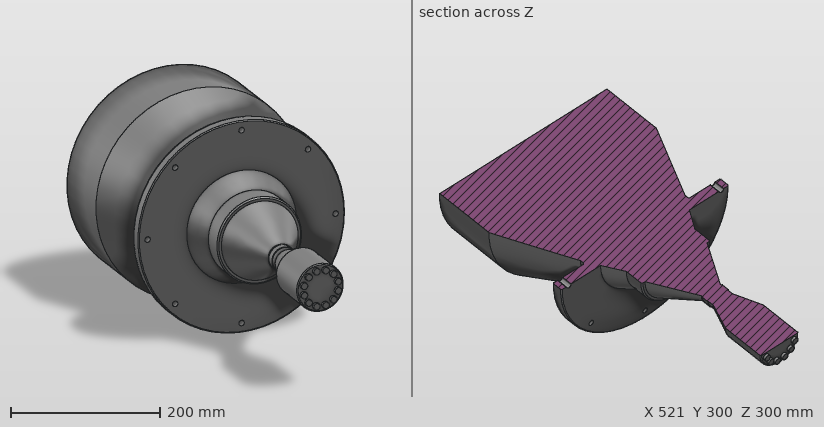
import cadquery as cq
import math

length = 521.0

drum_radius = 150.0
drum_length = 100.0
front_cone_end = 221.5
front_cone_radius = 94.0

flange_start = 228.0
flange_thickness = 17.5
flange_end = flange_start + flange_thickness
flange_radius = drum_radius
flange_chamfer = 1.5
flange_fillet = 2.5
hole_count = 8
hole_circle_radius = 136.5
hole_diameter = 8.0

rear_cone_radius = 79.5
collar_start = 277.0
collar_end = 308.5
collar_radius = 61.5
collar_chamfer = 2.0

long_cone_radius = 55.5
neck_start = 378.0
neck_end = 402.0
neck_radius = 17.0
band_start = 381.0
band_end = 393.0
band_radius = 18.0

tail_start = 446.0
tail_radius = 34.0
tail_chamfer = 1.5
pin_length = 4.0
tail_end = length - pin_length
pin_count = 12
pin_circle_radius = 25.5
pin_radius = 4.5


def ring_points(count, radius, first_angle=0.0):
    """Equally spaced points on a circle about the axis; angles in degrees."""
    points = []
    for index in range(count):
        angle = math.radians(first_angle + index * 360.0 / count)
        points.append((radius * math.cos(angle), radius * math.sin(angle)))
    return points


def turned_body():
    """Revolve the half outline, drawn as (X, radius), about the X axis."""
    profile = (
        cq.Workplane("XY")
        .lineTo(0, drum_radius)
        .lineTo(drum_length, drum_radius)
        .lineTo(front_cone_end, front_cone_radius)
        .lineTo(flange_start - flange_fillet, front_cone_radius)
        .radiusArc((flange_start, front_cone_radius + flange_fillet), -flange_fillet)
        .lineTo(flange_start, flange_radius - flange_chamfer)
        .lineTo(flange_start + flange_chamfer, flange_radius)
        .lineTo(flange_end - flange_chamfer, flange_radius)
        .lineTo(flange_end, flange_radius - flange_chamfer)
        .lineTo(flange_end, rear_cone_radius)
        .lineTo(collar_start, collar_radius)
        .lineTo(collar_end - collar_chamfer, collar_radius)
        .lineTo(collar_end, collar_radius - collar_chamfer)
        .lineTo(collar_end, long_cone_radius)
        .lineTo(neck_start, neck_radius)
        .lineTo(band_start, neck_radius)
        .lineTo(band_start, band_radius)
        .lineTo(band_end, band_radius)
        .lineTo(band_end, neck_radius)
        .lineTo(neck_end, neck_radius)
        .lineTo(tail_start, tail_radius)
        .lineTo(tail_end - tail_chamfer, tail_radius)
        .lineTo(tail_end, tail_radius - tail_chamfer)
        .lineTo(tail_end, 0)
        .close()
    )
    return profile.revolve(360, (0, 0, 0), (1, 0, 0))


def flange_holes():
    return (
        cq.Workplane("YZ", origin=(flange_start, 0, 0))
        .pushPoints(ring_points(hole_count, hole_circle_radius))
        .circle(hole_diameter / 2)
        .extrude(flange_thickness)
    )


def end_pins():
    """Short round pins; each starts inside the tail so that it joins the body."""
    embedded_length = tail_chamfer
    half_pitch = 180.0 / pin_count
    return (
        cq.Workplane("YZ", origin=(tail_end - embedded_length, 0, 0))
        .pushPoints(ring_points(pin_count, pin_circle_radius, half_pitch))
        .circle(pin_radius)
        .extrude(embedded_length + pin_length)
    )


result = turned_body().cut(flange_holes()).union(end_pins())